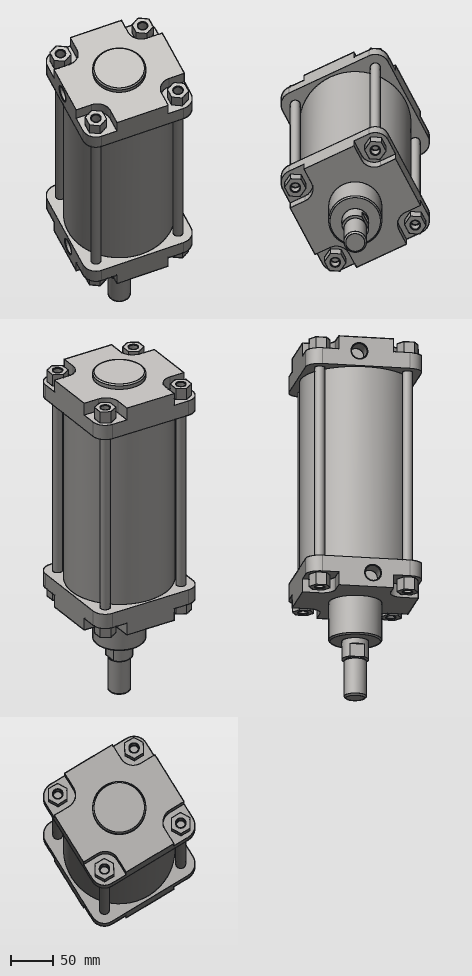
import cadquery as cq

TOTAL_HEIGHT = 434
HEAD_BOTTOM = 118.0
COVER_HEIGHT = 35.5
BOSS_HEIGHT = 6.5
CAP_TOP = TOTAL_HEIGHT - BOSS_HEIGHT
CAP_BOTTOM = CAP_TOP - COVER_HEIGHT
HEAD_TOP = HEAD_BOTTOM + COVER_HEIGHT

COVER_SIDE = 140.0
CORNER_RADIUS = 17.0
TIE_OFFSET = COVER_SIDE / 2 - CORNER_RADIUS
TIE_POSITIONS = [(x, y) for x in (-TIE_OFFSET, TIE_OFFSET) for y in (-TIE_OFFSET, TIE_OFFSET)]

POCKET_WIDTH = 37.0
POCKET_DEPTH = 16.0

COLLAR_DIAMETER = 63.5
COLLAR_LENGTH = 47.7
COLLAR_CHAMFER = 1.7
COLLAR_BOTTOM = HEAD_BOTTOM - COLLAR_LENGTH

PORT_DIAMETER = 18.5
PORT_CHAMFER = 1.0
PORT_DEPTH = 21.5
PORT_OFFSET = 8.2
PORT_INSET = 17.5

BARREL_DIAMETER = 133.0

TIE_DIAMETER = 12.0
NUT_ACROSS_CORNERS = 25.5
NUT_HEIGHT = 15.0
SOCKET_DIAMETER = 11.0
SOCKET_CHAMFER = 1.0
SOCKET_DEPTH = NUT_HEIGHT

ROD_DIAMETER = 32.0
ROD_SHOULDER = 47.7
FLAT_WIDTH = 27.0
FLAT_LENGTH = 15.5
THREAD_DIAMETER = 27.0
THREAD_CHAMFER = 2.0


def cylinder(diameter, bottom, height):
    return cq.Workplane("XY", origin=(0, 0, bottom)).circle(diameter / 2).extrude(height)


def cover_plate(bottom, pocket_bottom):
    """Square plate with a rounded pocket and a tie rod hole at each corner."""
    plate = (
        cq.Workplane("XY", origin=(0, 0, bottom))
        .rect(COVER_SIDE, COVER_SIDE)
        .extrude(COVER_HEIGHT)
        .edges("|Z")
        .fillet(CORNER_RADIUS)
    )
    pockets = (
        cq.Workplane("XY", origin=(0, 0, pocket_bottom))
        .rect(COVER_SIDE, COVER_SIDE, forConstruction=True)
        .vertices()
        .rect(2 * POCKET_WIDTH, 2 * POCKET_WIDTH)
        .extrude(POCKET_DEPTH)
        .edges("|Z")
        .fillet(CORNER_RADIUS)
    )
    holes = (
        cq.Workplane("XY", origin=(0, 0, bottom))
        .pushPoints(TIE_POSITIONS)
        .circle(TIE_DIAMETER / 2)
        .extrude(COVER_HEIGHT)
    )
    return plate.cut(pockets).cut(holes)


def port(x, z):
    """Cutter for a blind port with a chamfered mouth, sunk in from the -Y side of a cover."""
    mouth = cq.Workplane("XZ", origin=(x, -COVER_SIDE / 2, z))
    bore = mouth.circle(PORT_DIAMETER / 2).extrude(-PORT_DEPTH)
    countersink = (
        mouth.circle(PORT_DIAMETER / 2 + PORT_CHAMFER)
        .extrude(-PORT_CHAMFER, taper=45)
    )
    return bore.union(countersink)


def make_cap():
    boss = cylinder(COLLAR_DIAMETER, CAP_TOP, BOSS_HEIGHT).faces(">Z").chamfer(COLLAR_CHAMFER)
    plate = cover_plate(CAP_BOTTOM, CAP_TOP - POCKET_DEPTH)
    return plate.union(boss).cut(port(-PORT_OFFSET, CAP_TOP - PORT_INSET))


def make_head():
    collar = cylinder(COLLAR_DIAMETER, COLLAR_BOTTOM, COLLAR_LENGTH).faces("<Z").chamfer(COLLAR_CHAMFER)
    plate = cover_plate(HEAD_BOTTOM, HEAD_BOTTOM)
    return plate.union(collar).cut(port(PORT_OFFSET, HEAD_BOTTOM + PORT_INSET))


def make_barrel():
    return cylinder(BARREL_DIAMETER, HEAD_TOP, CAP_BOTTOM - HEAD_TOP)


def make_piston_rod():
    """Rod end below the collar: shank with two wrench flats, then a thread chamfered at both ends."""
    thread = cylinder(THREAD_DIAMETER, 0, ROD_SHOULDER).faces("|Z").chamfer(THREAD_CHAMFER)
    shank = cylinder(ROD_DIAMETER, ROD_SHOULDER, COLLAR_BOTTOM - ROD_SHOULDER)
    flat_zone = cylinder(ROD_DIAMETER, ROD_SHOULDER, FLAT_LENGTH)
    between_flats = (
        cq.Workplane("XY", origin=(0, 0, ROD_SHOULDER))
        .rect(ROD_DIAMETER, FLAT_WIDTH)
        .extrude(FLAT_LENGTH)
    )
    return shank.cut(flat_zone.cut(between_flats)).union(thread)


def make_tie_rod(x, y):
    """Tie rod through both covers, with a socketed hexagon nut at each end."""
    lower_seat = HEAD_BOTTOM + POCKET_DEPTH
    upper_seat = CAP_TOP - POCKET_DEPTH
    tie_rod = cylinder(TIE_DIAMETER, lower_seat, upper_seat - lower_seat)
    for nut_bottom, end_face in ((lower_seat - NUT_HEIGHT, "<Z"), (upper_seat, ">Z")):
        nut = (
            cq.Workplane("XY", origin=(0, 0, nut_bottom))
            .polygon(6, NUT_ACROSS_CORNERS)
            .extrude(NUT_HEIGHT)
            .faces(end_face)
            .workplane()
            .hole(SOCKET_DIAMETER, SOCKET_DEPTH)
            .faces(end_face)
            .edges("%CIRCLE")
            .chamfer(SOCKET_CHAMFER)
        )
        tie_rod = tie_rod.union(nut)
    return tie_rod.translate((x, y, 0))


cap = make_cap()
head = make_head()
barrel = make_barrel()
piston_rod = make_piston_rod()
tie_rods = [make_tie_rod(x, y) for x, y in TIE_POSITIONS]

result = cq.Compound.makeCompound(
    [cap.val(), head.val(), barrel.val(), piston_rod.val(), *[tie_rod.val() for tie_rod in tie_rods]]
)